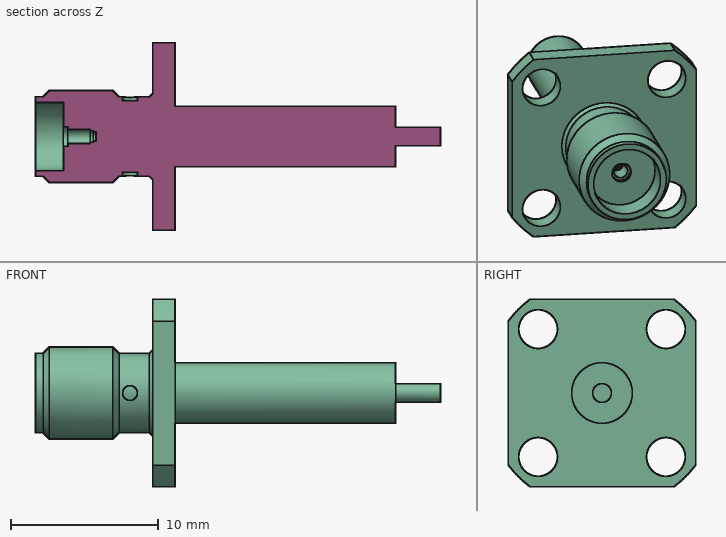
import cadquery as cq


overall_length = 27.4
nose_length = 0.52
shoulder_chamfer = 0.42
thread_end = 5.24
neck_chamfer = 0.42
flange_front = 7.93
flange_thickness = 1.52
collar_length = 0.22
pin_length = 3.05

nose_diameter = 5.4
thread_diameter = nose_diameter + 2 * shoulder_chamfer
neck_diameter = thread_diameter - 2 * neck_chamfer
dielectric_diameter = 4.1
pin_diameter = 1.27

flange_side = 12.7
flange_corner_diameter = 16.0
mounting_hole_spacing = 8.64
mounting_hole_diameter = 2.6

socket_diameter = 4.6
socket_depth = 1.9
contact_mouth_diameter = 1.3
contact_bore_diameter = 0.94
contact_step_diameter = 0.77
contact_tip_diameter = 0.6
contact_mouth_depth = 0.3
contact_bore_depth = 1.5
contact_step_depth = 0.2

side_recess_diameter = 1.0
side_recess_depth = 0.28
side_recess_x = 6.4

flange_back = flange_front + flange_thickness
collar_diameter = neck_diameter + 2 * collar_length
pin_start = overall_length - pin_length


def cylinder(diameter, start, end):
    """Solid cylinder on the X axis between two stations."""
    return cq.Workplane("YZ", origin=(start, 0, 0)).circle(diameter / 2).extrude(end - start)


def turn(profile):
    """Solid of revolution about the X axis from (station, radius) points."""
    return cq.Workplane("XZ").polyline(profile).close().revolve(360, (0, 0, 0), (1, 0, 0))


def make_barrel():
    """Threaded barrel, neck and flared collar, turned about the X axis."""
    thread_start = nose_length + shoulder_chamfer
    profile = [
        (0, 0),
        (0, nose_diameter / 2),
        (nose_length, nose_diameter / 2),
        (thread_start, thread_diameter / 2),
        (thread_end, thread_diameter / 2),
        (thread_end + neck_chamfer, neck_diameter / 2),
        (flange_front - collar_length, neck_diameter / 2),
        (flange_front, collar_diameter / 2),
        (flange_front, 0),
    ]
    return turn(profile)


def make_flange():
    """Square plate whose corners are turned to a common diameter, with its mounting holes."""
    flange_plane = cq.Workplane("YZ", origin=(flange_front, 0, 0))
    plate = flange_plane.rect(flange_side, flange_side).extrude(flange_thickness)
    plate = plate.intersect(cylinder(flange_corner_diameter, flange_front, flange_back))
    holes = (
        flange_plane.rect(mounting_hole_spacing, mounting_hole_spacing, forConstruction=True)
        .vertices()
        .circle(mounting_hole_diameter / 2)
        .extrude(flange_thickness)
    )
    return plate.cut(holes)


def make_socket():
    """Space inside the barrel: the wide socket and the stepped bore of the centre contact."""
    mouth_end = socket_depth + contact_mouth_depth
    bore_end = mouth_end + contact_bore_depth
    step_end = bore_end + contact_step_depth
    tip_end = step_end + contact_step_depth
    profile = [
        (0, 0),
        (0, socket_diameter / 2),
        (socket_depth, socket_diameter / 2),
        (socket_depth, contact_mouth_diameter / 2),
        (mouth_end, contact_mouth_diameter / 2),
        (mouth_end, contact_bore_diameter / 2),
        (bore_end, contact_bore_diameter / 2),
        (bore_end, contact_step_diameter / 2),
        (step_end, contact_step_diameter / 2),
        (step_end, contact_tip_diameter / 2),
        (tip_end, contact_tip_diameter / 2),
        (tip_end, 0),
    ]
    return turn(profile)


def make_side_recesses():
    """Round recesses across the neck, with floors that follow its curvature."""
    cross_hole = (
        cq.Workplane("XZ", origin=(side_recess_x, 0, 0))
        .circle(side_recess_diameter / 2)
        .extrude(neck_diameter / 2, both=True)
    )
    return cross_hole.cut(cylinder(neck_diameter - 2 * side_recess_depth, 0, flange_front))


result = (
    make_barrel()
    .union(make_flange())
    .union(cylinder(dielectric_diameter, flange_back, pin_start))
    .union(cylinder(pin_diameter, pin_start, overall_length))
    .cut(make_socket())
    .cut(make_side_recesses())
)